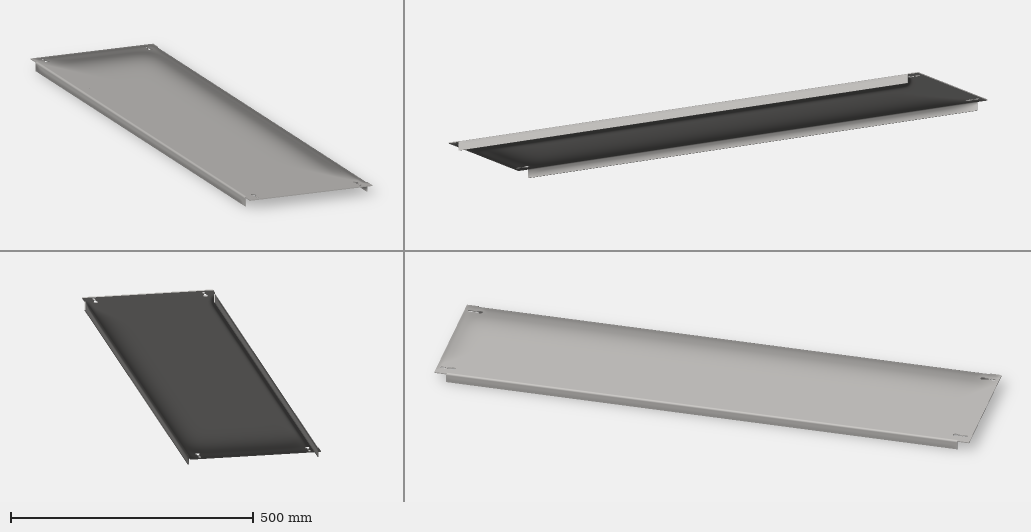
import cadquery as cq

length = 1138.0
width = 275.0
height = 20.0
sheet = 2.0
bend_radius = 4.0
end_tab = 25.0

slot_width = 6.0
slot_start = 8.0
slot_end = 19.0
keyhole_start = 22.0
keyhole_diameter = 10.0
keyhole_inset = 34.0
opening_row_spacing = 231.0

flange_length = length - 2 * end_tab


def bent_channel():
    """Top web with a downward flange along each long side."""
    outside = (
        cq.Workplane("XY")
        .box(flange_length, width, height)
        .edges("|X and >Z")
        .fillet(bend_radius)
    )
    inside = (
        cq.Workplane("XY")
        .box(flange_length, width - 2 * sheet, height)
        .edges("|X and >Z")
        .fillet(bend_radius - sheet)
        .translate((0, 0, -sheet))
    )
    return outside.cut(inside)


def flat_end(side):
    """Unbent tab at one end of the panel, side = -1 or +1."""
    centre_x = side * (length - end_tab) / 2
    centre_z = (height - sheet) / 2
    return cq.Workplane("XY").box(end_tab, width, sheet).translate((centre_x, 0, centre_z))


def corner_points(inset):
    """Workplane with one point per corner, at the given distance from the panel ends."""
    return (
        cq.Workplane("XY")
        .rect(length - 2 * inset, opening_row_spacing, forConstruction=True)
        .vertices()
    )


def corner_slots(start, end):
    """Cutters for a slot between two distances from the panel ends, in every corner."""
    return corner_points((start + end) / 2).slot2D(end - start, slot_width).extrude(height)


def corner_keyholes():
    """Cutters for a round with a narrower slot running toward the panel end."""
    rounds = corner_points(keyhole_inset).circle(keyhole_diameter / 2).extrude(height)
    necks = corner_slots(keyhole_start, keyhole_inset)
    return rounds.union(necks)


result = bent_channel()
for end_side in (-1, 1):
    result = result.union(flat_end(end_side))
result = result.cut(corner_slots(slot_start, slot_end))
result = result.cut(corner_keyholes())